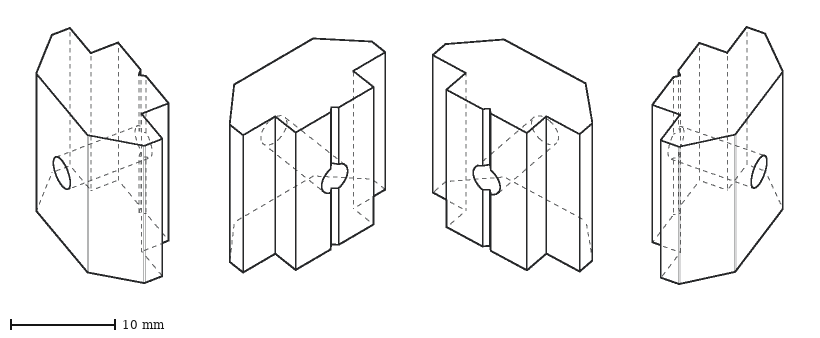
import cadquery as cq

width = 18.0
depth = 9.0
length = 18.0

tongue_width = 9.86
tongue_height = 3.0
taper = 4.0
edge_radius = 0.2

notch_depth = 0.5
hole_diameter = 3.3

base_y = -depth / 2
tongue_y = depth / 2
wing_y = tongue_y - tongue_height


def make_body():
    half_profile = [
        (0, base_y),
        (width / 2 - taper, base_y),
        (width / 2, base_y + taper),
        (width / 2, wing_y),
        (tongue_width / 2, wing_y),
        (tongue_width / 2, tongue_y),
        (0, tongue_y),
    ]
    mirrored = [(-x, y) for x, y in reversed(half_profile[1:-1])]
    body = cq.Workplane("XY").polyline(half_profile + mirrored).close().extrude(length / 2, both=True)

    wing_underside = cq.selectors.BoxSelector(
        (-width, -depth, -length),
        (width, (base_y + taper + wing_y) / 2, length),
    )
    return body.edges("|Z").edges(wing_underside).fillet(edge_radius)


def make_notch():
    outline = [(-notch_depth, tongue_y), (0, tongue_y - notch_depth), (notch_depth, tongue_y)]
    return cq.Workplane("XY").polyline(outline).close().extrude(length / 2, both=True)


def make_hole():
    return cq.Workplane("XZ").circle(hole_diameter / 2).extrude(depth / 2, both=True)


result = make_body().cut(make_notch()).cut(make_hole())